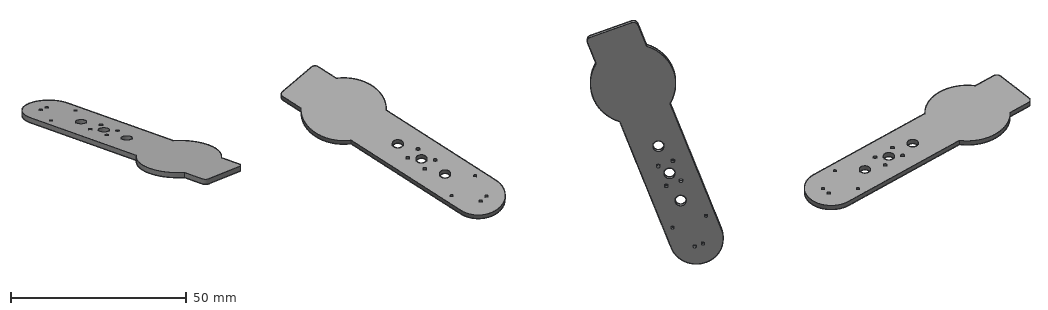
import cadquery as cq

LENGTH = 76.2
WIDTH = 15.4
THICKNESS = 1.6
CORNER_RADIUS = 1.4

DISC_DIAMETER = 24.4
DISC_X = 58.5

LARGE_HOLE_DIAMETER = 3.2
MIDDLE_HOLE_X = 29.2
LARGE_HOLE_PITCH = 8.9

SCREW_HOLE_DIAMETER = 1.1
SCREW_PITCH_X = 6.5
SCREW_PITCH_Y = 4.5

TIP_HOLE_DIAMETER = 0.9
TIP_HOLE_X = 5.7
TIP_HOLE_PITCH = 2.5

EDGE_HOLE_DIAMETER = 0.8
EDGE_HOLE_X = 13.3
EDGE_HOLE_PITCH = 10.2


def strap():
    half_width = WIDTH / 2
    body = (
        cq.Workplane("XY")
        .moveTo(half_width, -half_width)
        .lineTo(LENGTH, -half_width)
        .lineTo(LENGTH, half_width)
        .lineTo(half_width, half_width)
        .threePointArc((0, 0), (half_width, -half_width))
        .close()
        .extrude(THICKNESS)
    )
    return body.edges("|Z and >X").fillet(CORNER_RADIUS)


def disc():
    return cq.Workplane("XY").center(DISC_X, 0).circle(DISC_DIAMETER / 2).extrude(THICKNESS)


def through_holes(points, diameter):
    return cq.Workplane("XY").pushPoints(points).circle(diameter / 2).extrude(THICKNESS)


def mirrored_pair(x, pitch):
    return [(x, -pitch / 2), (x, pitch / 2)]


large_points = [(MIDDLE_HOLE_X + step * LARGE_HOLE_PITCH, 0) for step in (-1, 0, 1)]
screw_points = [
    point
    for side in (-1, 1)
    for point in mirrored_pair(MIDDLE_HOLE_X + side * SCREW_PITCH_X / 2, SCREW_PITCH_Y)
]
tip_points = mirrored_pair(TIP_HOLE_X, TIP_HOLE_PITCH)
edge_points = mirrored_pair(EDGE_HOLE_X, EDGE_HOLE_PITCH)

result = (
    strap()
    .union(disc())
    .cut(through_holes(large_points, LARGE_HOLE_DIAMETER))
    .cut(through_holes(screw_points, SCREW_HOLE_DIAMETER))
    .cut(through_holes(tip_points, TIP_HOLE_DIAMETER))
    .cut(through_holes(edge_points, EDGE_HOLE_DIAMETER))
)